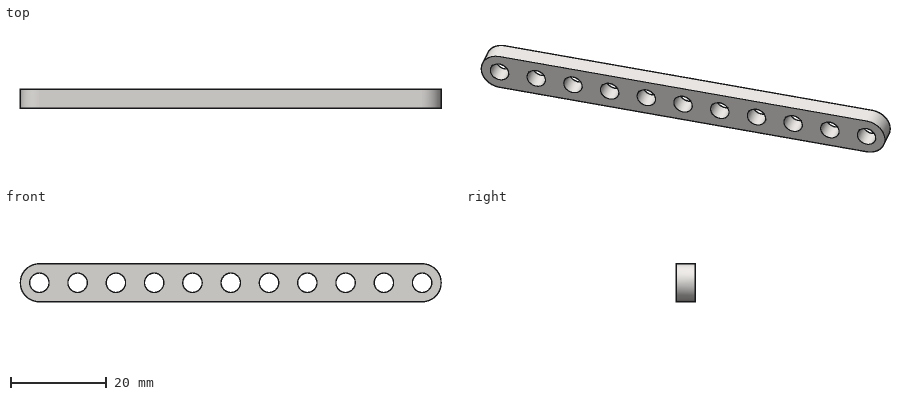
import cadquery as cq

length = 88.0
hole_count = 11
pitch = length / hole_count
height = pitch
thickness = height / 2
hole_diameter = height / 2

bar = cq.Workplane("XZ").slot2D(length, height).extrude(thickness / 2, both=True)

holes = (
    cq.Workplane("XZ")
    .rarray(pitch, height, hole_count, 1)
    .circle(hole_diameter / 2)
    .extrude(thickness, both=True)
)

result = bar.cut(holes)